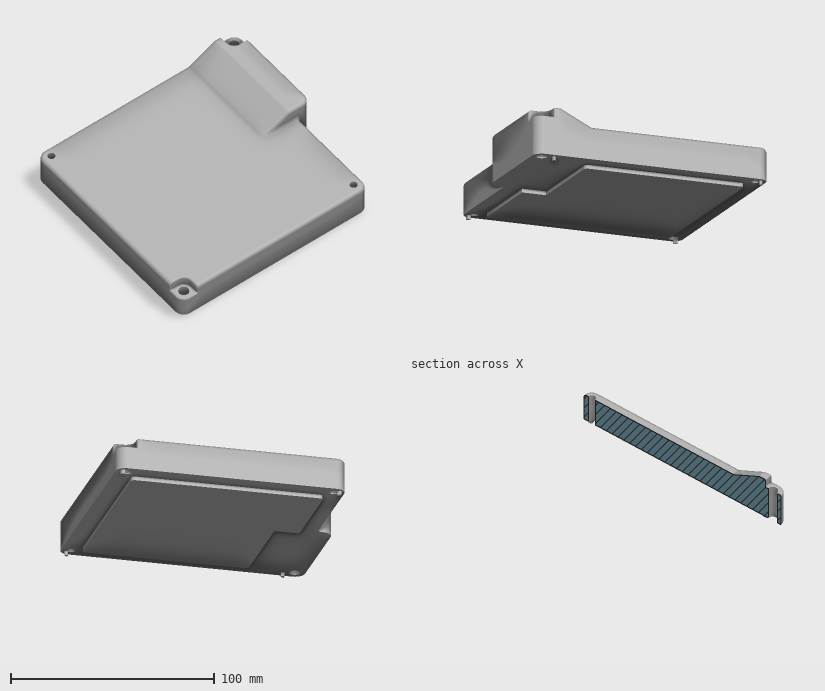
import cadquery as cq

WIDTH = 116.5
BOX_DEPTH = 116.3
BOX_HEIGHT = 16.6

BLOCK_WIDTH = 60.0
BLOCK_BACK = 124.2
BLOCK_HEIGHT = 24.7
RAMP_CREST_Y = 110.7
RAMP_FOOT_Y = 94.2

CORNER_RADIUS = 5.0
EDGE_RADIUS = 2.0
RIM_RADIUS = 1.0

HOLE_INSET = 5.2
SMALL_HOLE_DIAMETER = 4.0
LARGE_HOLE_DIAMETER = 5.5
SEAT_RADIUS = 4.5
SEAT_DEPTH = 5.0

FOOT_HEIGHT = 2.0
PLATE_INSET = 9.5
PLATE_CORNER_RADIUS = 2.0
FOOT_INSET = 2.1
FOOT_SIZE = 2.0

LEFT_X = HOLE_INSET
RIGHT_X = WIDTH - HOLE_INSET
FRONT_Y = HOLE_INSET
SMALL_HOLES = [(LEFT_X, FRONT_Y), (RIGHT_X, BOX_DEPTH - HOLE_INSET)]
BLOCK_HOLE = (LEFT_X, BLOCK_BACK - HOLE_INSET)
BOX_HOLE = (RIGHT_X, FRONT_Y)


def near(x, y, z):
    """Select edges whose center lies close to a point."""
    reach = 0.6
    return cq.selectors.BoxSelector(
        (x - reach, y - reach, z - reach), (x + reach, y + reach, z + reach)
    )


def make_body():
    """Box and ramped block, joined and rounded."""
    box = cq.Workplane("XY").box(WIDTH, BOX_DEPTH, BOX_HEIGHT, centered=False)
    block = (
        cq.Workplane("YZ")
        .moveTo(RAMP_FOOT_Y, 0)
        .lineTo(BLOCK_BACK, 0)
        .lineTo(BLOCK_BACK, BLOCK_HEIGHT)
        .lineTo(RAMP_CREST_Y, BLOCK_HEIGHT)
        .lineTo(RAMP_FOOT_Y, BOX_HEIGHT)
        .close()
        .extrude(BLOCK_WIDTH)
    )
    body = box.union(block).clean()

    box_corners = [(0, 0), (WIDTH, 0), (WIDTH, BOX_DEPTH)]
    for x, y in box_corners:
        body = body.edges(near(x, y, BOX_HEIGHT / 2)).fillet(CORNER_RADIUS)
    for x in (0, BLOCK_WIDTH):
        body = body.edges(near(x, BLOCK_BACK, BLOCK_HEIGHT / 2)).fillet(CORNER_RADIUS)

    body = body.edges(near(BLOCK_WIDTH / 2, RAMP_CREST_Y, BLOCK_HEIGHT)).fillet(EDGE_RADIUS)

    body = (
        body.edges(near(WIDTH / 2, 0, BOX_HEIGHT))
        .add(body.edges(near(BLOCK_WIDTH / 2, BLOCK_BACK, BLOCK_HEIGHT)))
        .fillet(EDGE_RADIUS)
    )

    wall_middle_y = (RAMP_FOOT_Y + BOX_DEPTH) / 2
    wall_crease = cq.selectors.BoxSelector(
        (BLOCK_WIDTH - EDGE_RADIUS / 2, wall_middle_y - CORNER_RADIUS, BOX_HEIGHT - EDGE_RADIUS / 2),
        (BLOCK_WIDTH + EDGE_RADIUS / 2, wall_middle_y + CORNER_RADIUS, BOX_HEIGHT + EDGE_RADIUS / 2),
    )
    return (
        body.edges(near(BLOCK_WIDTH / 2, RAMP_FOOT_Y, BOX_HEIGHT))
        .add(body.edges(wall_crease))
        .fillet(EDGE_RADIUS)
    )


def cut_seat(body, hole, outward_x, outward_y, top):
    """Sink an open corner seat around a hole and round its rim."""
    x, y = hole
    floor = top - SEAT_DEPTH
    reach = 2 * HOLE_INSET
    outer_x = x + outward_x * reach
    outer_y = y + outward_y * reach
    near_x = x - outward_x * SEAT_RADIUS
    near_y = y - outward_y * SEAT_RADIUS
    diagonal = SEAT_RADIUS / 2**0.5
    cutter = (
        cq.Workplane("XY", origin=(0, 0, floor))
        .moveTo(near_x, outer_y)
        .lineTo(near_x, y)
        .threePointArc((x - outward_x * diagonal, y - outward_y * diagonal), (x, near_y))
        .lineTo(outer_x, near_y)
        .lineTo(outer_x, outer_y)
        .close()
        .extrude(2 * SEAT_DEPTH)
    )
    body = body.cut(cutter)

    seat_box = cq.selectors.BoxSelector(
        (near_x - outward_x * RIM_RADIUS, near_y - outward_y * RIM_RADIUS, floor - RIM_RADIUS),
        (outer_x, outer_y, top + RIM_RADIUS),
    )
    rim = []
    for edge in body.edges(seat_box).vals():
        middle = edge.positionAt(0.5)
        outward = max((middle.x - x) * outward_x, (middle.y - y) * outward_y)
        on_top = abs(middle.z - top) < RIM_RADIUS / 2
        on_outer_side = outward > HOLE_INSET - EDGE_RADIUS
        if on_top or on_outer_side:
            rim.append(edge)
    return body.newObject(rim).fillet(RIM_RADIUS)


def make_plate():
    """Low plate under the box, notched below the block."""
    left = PLATE_INSET
    right = WIDTH - PLATE_INSET
    front = PLATE_INSET
    back = BOX_DEPTH - PLATE_INSET
    plate = (
        cq.Workplane("XY", origin=(0, 0, -FOOT_HEIGHT))
        .moveTo(left, front)
        .lineTo(right, front)
        .lineTo(right, back)
        .lineTo(BLOCK_WIDTH, back)
        .lineTo(BLOCK_WIDTH, RAMP_FOOT_Y)
        .lineTo(left, RAMP_FOOT_Y)
        .close()
        .extrude(FOOT_HEIGHT)
    )
    middle_z = -FOOT_HEIGHT / 2
    for x, y in [(left, front), (right, front), (right, back), (left, RAMP_FOOT_Y)]:
        plate = plate.edges(near(x, y, middle_z)).fillet(PLATE_CORNER_RADIUS)
    return plate


def make_foot(corner_x, corner_y, inward_x):
    """Small quarter-round foot, its round side facing forward and outward."""
    center_x = corner_x + inward_x * FOOT_SIZE
    center_y = corner_y + FOOT_SIZE
    diagonal = FOOT_SIZE / 2**0.5
    return (
        cq.Workplane("XY", origin=(0, 0, -FOOT_HEIGHT))
        .moveTo(center_x, center_y)
        .lineTo(corner_x, center_y)
        .threePointArc((center_x - inward_x * diagonal, center_y - diagonal), (center_x, corner_y))
        .close()
        .extrude(FOOT_HEIGHT)
    )


def cut_hole(body, hole, diameter):
    """Drill one upright hole through everything."""
    drill = (
        cq.Workplane("XY", origin=(0, 0, -2 * FOOT_HEIGHT))
        .center(*hole)
        .circle(diameter / 2)
        .extrude(2 * BLOCK_HEIGHT)
    )
    return body.cut(drill)


body = make_body()
body = cut_seat(body, BLOCK_HOLE, -1, 1, BLOCK_HEIGHT)
body = cut_seat(body, BOX_HOLE, 1, -1, BOX_HEIGHT)
body = body.union(make_plate())

for foot_y in (FOOT_INSET, BOX_DEPTH - FOOT_INSET - FOOT_SIZE):
    body = body.union(make_foot(FOOT_INSET, foot_y, 1))
    body = body.union(make_foot(WIDTH - FOOT_INSET, foot_y, -1))

for small_hole in SMALL_HOLES:
    body = cut_hole(body, small_hole, SMALL_HOLE_DIAMETER)
for large_hole in (BLOCK_HOLE, BOX_HOLE):
    body = cut_hole(body, large_hole, LARGE_HOLE_DIAMETER)

result = body